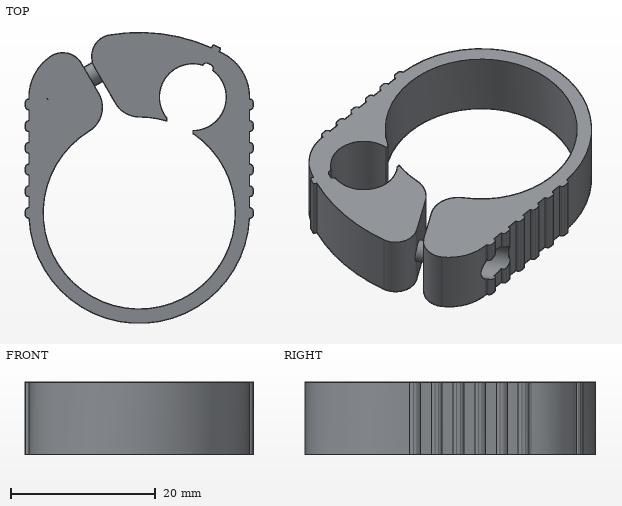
import cadquery as cq
import math

height = 10.0
bore_radius = 13.25
band_wall = 2.0
outer_radius = bore_radius + band_wall
overall_length = 40.2

crown_y = overall_length - outer_radius
crown_radius = 24.5
shoulder_y = 16.0

eye_radius = 4.6
eye_x = 7.4
eye_y = shoulder_y
mouth_left = 3.83
mouth_right = 7.4

screw_tilt = 30.0
gap_start = 3.42
gap_end = 4.72
jaw_tip_fillet = 3.0
jaw_heel_fillet = 3.85

screw_offset = 19.76
screw_diameter = 3.0
screw_chamfer = 0.3
countersink_diameter = 3.1
counterbore_diameter = 4.9
counterbore_floor = -3.1
counterbore_fillet = 0.2
counterbore_reach = 12.0
screw_start = counterbore_floor
screw_grip = 2.0
screw_end = gap_end + screw_grip

rib_width = 1.5
rib_depth = 0.5
rib_fillet = 0.5
rib_pitch = 3.0
rib_count = 6
groove_angle = 63.0

marker_angle = 64.5
marker_width = 1.2
marker_tip_radius = 7.77
marker_fillet = 0.2
root_overlap = 0.4

tilt = math.radians(screw_tilt)


def along_screw(distance, offset):
    """Point at a distance along the screw axis direction and an offset square to it."""
    x = distance * math.cos(tilt) - offset * math.sin(tilt)
    y = distance * math.sin(tilt) + offset * math.cos(tilt)
    return x, y


def plate():
    """Sketch plane on the underside of the part."""
    return cq.Workplane("XY").workplane(offset=-height / 2)


def make_body():
    """Solid outline: round end, straight sides, shoulder arcs and crown arc."""
    crown_centre_y = crown_y - crown_radius
    rise = shoulder_y - crown_centre_y
    shoulder_radius = (crown_radius**2 - outer_radius**2 - rise**2) / (2 * (crown_radius - outer_radius))
    shoulder_x = outer_radius - shoulder_radius
    blend_angle = math.atan2(rise, shoulder_x)
    blend_x = crown_radius * math.cos(blend_angle)
    blend_y = crown_centre_y + crown_radius * math.sin(blend_angle)
    middle_x = shoulder_x + shoulder_radius * math.cos(blend_angle / 2)
    middle_y = shoulder_y + shoulder_radius * math.sin(blend_angle / 2)
    return (
        plate()
        .moveTo(outer_radius, 0)
        .lineTo(outer_radius, shoulder_y)
        .threePointArc((middle_x, middle_y), (blend_x, blend_y))
        .threePointArc((0, crown_y), (-blend_x, blend_y))
        .threePointArc((-middle_x, middle_y), (-outer_radius, shoulder_y))
        .lineTo(-outer_radius, 0)
        .threePointArc((0, -outer_radius), (outer_radius, 0))
        .close()
        .extrude(height)
    )


def cut_openings(body):
    """Clamping bore, cable eye and the mouth that joins them."""
    bore = plate().circle(bore_radius).extrude(height)
    eye = plate().center(eye_x, eye_y).circle(eye_radius).extrude(height)
    mouth_width = mouth_right - mouth_left
    mouth_x = (mouth_left + mouth_right) / 2
    mouth = plate().center(mouth_x, eye_y / 2).rect(mouth_width, eye_y).extrude(height)
    return body.cut(bore).cut(eye).cut(mouth)


def fillet_corner(body, point, radius):
    """Round the upright edge nearest to a point."""
    corner = cq.selectors.NearestToPointSelector((point[0], point[1], 0))
    return body.edges("|Z").edges(corner).fillet(radius)


def offset_on_circle(distance, radius, centre_y):
    """Offset at which a line square to the screw axis leaves a circle centred on the Y axis."""
    centre_distance = centre_y * math.sin(tilt)
    centre_offset = centre_y * math.cos(tilt)
    return centre_offset + math.sqrt(radius**2 - (distance - centre_distance) ** 2)


def cut_gap(body):
    """Slanted gap between the jaws, with its four corners rounded."""
    gap_length = 2 * screw_offset
    gap_centre = along_screw((gap_start + gap_end) / 2, gap_length / 2)
    gap = (
        plate()
        .center(*gap_centre)
        .transformed(rotate=(0, 0, screw_tilt))
        .rect(gap_end - gap_start, gap_length)
        .extrude(height)
    )
    body = body.cut(gap)
    crown_centre_y = crown_y - crown_radius
    for distance in (gap_start, gap_end):
        tip = along_screw(distance, offset_on_circle(distance, crown_radius, crown_centre_y))
        heel = along_screw(distance, offset_on_circle(distance, bore_radius, 0))
        body = fillet_corner(body, tip, jaw_tip_fillet)
        body = fillet_corner(body, heel, jaw_heel_fillet)
    return body


def rib_bar(base, angle, width, depth, tip_fillet):
    """Upright bar standing out from a base point, its two tip edges rounded."""
    return (
        cq.Workplane("XY")
        .box(depth + root_overlap, width, height, centered=(False, True, True))
        .translate((-root_overlap, 0, 0))
        .edges("|Z and >X")
        .fillet(tip_fillet)
        .rotate((0, 0, 0), (0, 0, 1), angle)
        .translate((base[0], base[1], 0))
    )


def from_eye(radius, angle):
    """Point at a radius and an angle around the eye centre."""
    x = eye_x + radius * math.cos(math.radians(angle))
    y = eye_y + radius * math.sin(math.radians(angle))
    return x, y


def add_ribs(body):
    """Grip ribs on both sides, the marker rib and the key groove in the eye."""
    for index in range(rib_count):
        y = index * rib_pitch
        body = body.union(rib_bar((outer_radius, y), 0, rib_width, rib_depth, rib_fillet))
        body = body.union(rib_bar((-outer_radius, y), 180, rib_width, rib_depth, rib_fillet))
    marker_base = from_eye(marker_tip_radius - rib_depth, marker_angle)
    marker = rib_bar(marker_base, marker_angle, marker_width, rib_depth, marker_fillet)
    groove_base = from_eye(eye_radius, groove_angle)
    groove = rib_bar(groove_base, groove_angle, rib_width, rib_depth, rib_fillet)
    return body.union(marker).cut(groove)


def screw_cylinder(start, end, diameter):
    """Cylinder along the screw axis between two distances."""
    origin = along_screw(start, screw_offset)
    axis = (math.cos(tilt), math.sin(tilt), 0)
    start_plane = cq.Plane(origin=(origin[0], origin[1], 0), xDir=(0, 0, 1), normal=axis)
    return cq.Workplane(start_plane).circle(diameter / 2).extrude(end - start)


def countersink_cone():
    """45 degree cone at the counterbore floor, ending where it meets the screw's end chamfer."""
    mouth_radius = countersink_diameter / 2
    screw_tip_radius = screw_diameter / 2 - screw_chamfer
    depth = (mouth_radius - screw_tip_radius) / 2
    origin = along_screw(counterbore_floor, screw_offset)
    axis = cq.Vector(math.cos(tilt), math.sin(tilt), 0)
    base = cq.Vector(origin[0], origin[1], 0)
    return cq.Solid.makeCone(mouth_radius, mouth_radius - depth, depth, base, axis)


def fit_screw(body):
    """Counterbore and countersink in the left jaw, and the screw bridging the gap."""
    counterbore_start = counterbore_floor - counterbore_reach
    counterbore = screw_cylinder(counterbore_start, counterbore_floor, counterbore_diameter)
    counterbore = counterbore.faces(">X").edges().fillet(counterbore_fillet)
    screw = screw_cylinder(screw_start, screw_end, screw_diameter)
    screw = screw.faces("<X").edges().chamfer(screw_chamfer)
    return body.cut(counterbore).cut(cq.Workplane(countersink_cone())).union(screw)


result = fit_screw(add_ribs(cut_gap(cut_openings(make_body()))))